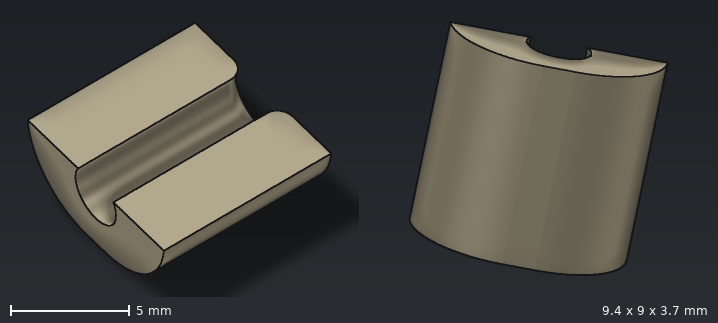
import cadquery as cq
import math

width = 9.4
length = 9.0
height = 3.7

corner_radius = 4.0

bore_radius = 1.4
bore_depth = 0.7
mouth_radius = 0.75

half_width = width / 2
half_length = length / 2
arc_center_z = corner_radius - height
arc_center_x = half_width - math.sqrt(corner_radius**2 - arc_center_z**2)

start_angle = math.asin(-arc_center_z / corner_radius)
middle_angle = (start_angle - math.pi / 2) / 2
arc_middle_x = arc_center_x + corner_radius * math.cos(middle_angle)
arc_middle_z = arc_center_z + corner_radius * math.sin(middle_angle)


def make_body():
    """Flat-topped body with a rounded underside, running along Y."""
    return (
        cq.Workplane("XZ")
        .moveTo(-half_width, 0)
        .lineTo(half_width, 0)
        .threePointArc((arc_middle_x, arc_middle_z), (arc_center_x, -height))
        .lineTo(-arc_center_x, -height)
        .threePointArc((-arc_middle_x, arc_middle_z), (-half_width, 0))
        .close()
        .extrude(half_length, both=True)
    )


def make_bore():
    """Round bore flaring out to a rounded mouth at the +Y end."""
    mouth_start = half_length - mouth_radius
    flare_radius = bore_radius + mouth_radius
    arc_offset = mouth_radius * math.sqrt(0.5)
    return (
        cq.Workplane("XY")
        .moveTo(0, -half_length)
        .lineTo(bore_radius, -half_length)
        .lineTo(bore_radius, mouth_start)
        .threePointArc(
            (flare_radius - arc_offset, mouth_start + arc_offset),
            (flare_radius, half_length),
        )
        .lineTo(0, half_length)
        .close()
        .revolve(360, (0, 0, 0), (0, 1, 0))
        .translate((0, 0, -bore_depth))
    )


result = make_body().cut(make_bore())